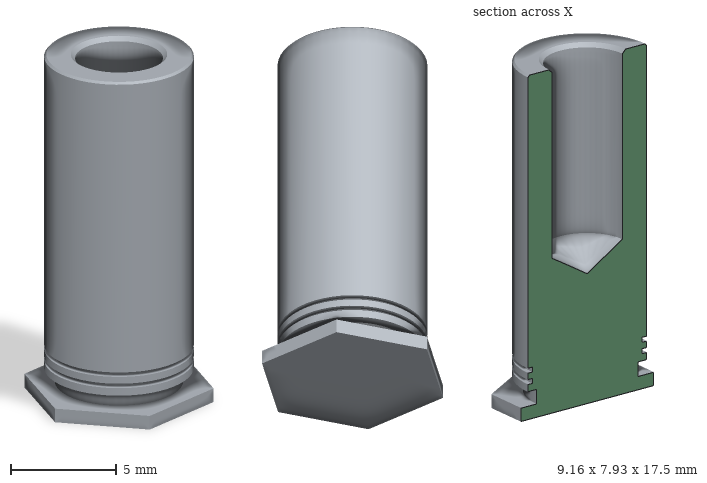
import cadquery as cq
import math

total_height = 17.46
hex_width = 7.93
hex_thickness = 0.7

barrel_diameter = 7.1
neck_diameter = 6.1
barrel_bottom = 1.41
rim_chamfer = 0.1

groove_diameter = 6.6
groove_width = 0.23
groove_pitch = 0.58
lower_groove_bottom = 1.8
groove_count = 2

bore_diameter = 4.17
bore_mouth_diameter = 4.57
bore_depth = 9.6
drill_point_angle = 118.0


def cylinder(diameter, bottom, top):
    return cq.Workplane("XY").workplane(offset=bottom).circle(diameter / 2).extrude(top - bottom)


def hex_head():
    """Hexagonal flange with two corners on the X axis."""
    across_corners = hex_width / math.cos(math.pi / 6)
    return cq.Workplane("XY").polygon(6, across_corners).extrude(hex_thickness)


def barrel():
    return cylinder(barrel_diameter, barrel_bottom, total_height).faces(">Z").chamfer(rim_chamfer)


def groove(bottom):
    """Ring that is cut from the outside of the barrel."""
    top = bottom + groove_width
    return cylinder(barrel_diameter, bottom, top).cut(cylinder(groove_diameter, bottom, top))


def bore():
    """Revolved cutter: 45 degree lead-in, straight hole and drill point."""
    bore_radius = bore_diameter / 2
    mouth_radius = bore_mouth_diameter / 2
    lead_in_depth = mouth_radius - bore_radius
    shoulder = total_height - bore_depth
    point_depth = bore_radius / math.tan(math.radians(drill_point_angle / 2))
    profile = [
        (0, total_height),
        (mouth_radius, total_height),
        (bore_radius, total_height - lead_in_depth),
        (bore_radius, shoulder),
        (0, shoulder - point_depth),
    ]
    return cq.Workplane("XZ").polyline(profile).close().revolve(360, (0, 0), (0, 1))


neck = cylinder(neck_diameter, hex_thickness, barrel_bottom)
result = hex_head().union(neck).union(barrel())
for index in range(groove_count):
    result = result.cut(groove(lower_groove_bottom + index * groove_pitch))
result = result.cut(bore())